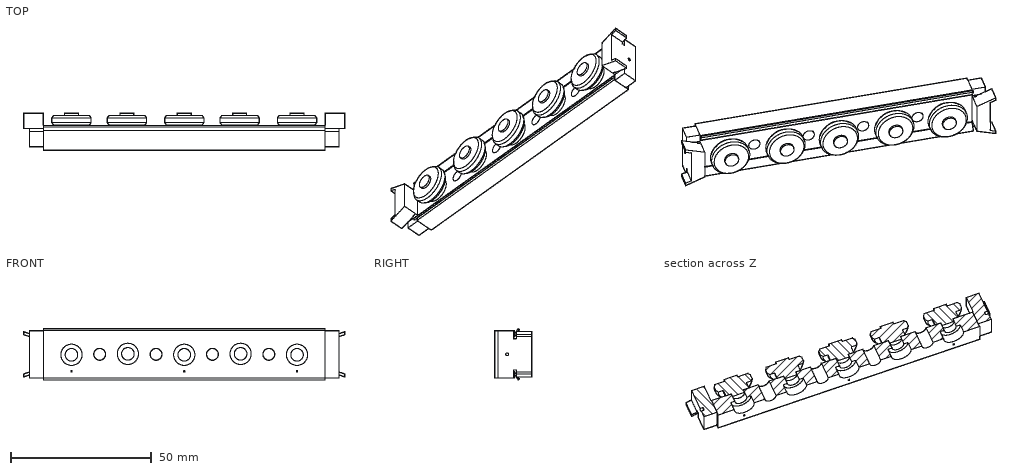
import cadquery as cq
import math


housing_length = 100.0
housing_depth = 7.1
housing_height = 16.9
roller_count = 5
roller_pitch = housing_length / roller_count
roller_offset = 0.17

mounting_hole_diameter = 4.1
counterbore_diameter = 7.5
counterbore_depth = 3.2
stud_hole_diameter = 4.5
mark_diameter = 0.5
mark_depth = 0.6
mark_drop = 6.0
recess_depth = 0.3

lip_foot_inner_z = 6.2
lip_thickness = 0.6
lip_lean = math.radians(56)
lip_top_z = 9.1

overall_depth = 13.2
roller_diameter = 14.0
roller_width = 3.5
roller_bevel_width = 0.9
roller_bevel_height = 0.7
boss_diameter = 5.0
boss_height = 0.74
hub_diameter = 9.0
stud_length = 1.4
eccentricity = 0.3

overall_length = 114.0
cap_end_x = 55.0
cap_front_y = 1.3
cap_back_y = housing_depth - recess_depth
cap_neck_height = 11.2
head_front_y = 7.8
wing_tip_z = 8.1
wing_tip_thickness = 1.1
wing_root_z = 6.3
pinhole_diameter = 1.0
pinhole_depth = 1.1
pinhole_y = 4.5

roller_places = []
for index in range(roller_count):
    roller_x = (index - (roller_count - 1) / 2) * roller_pitch
    roller_z = -roller_offset if index % 2 == 0 else roller_offset
    roller_places.append((roller_x, roller_z))


def block(x_start, x_end, y_start, y_end, height):
    """Box between the given X and Y limits, centred on Z = 0."""
    corner_box = cq.Workplane("XY").box(
        x_end - x_start, y_end - y_start, height, centered=(False, False, True)
    )
    return corner_box.translate((x_start, y_start, 0))


def cylinder(diameter, x, z, y_start, y_end):
    """Cylinder along Y between the two given Y values."""
    start = cq.Vector(x, y_start, z)
    solid = cq.Solid.makeCylinder(diameter / 2, y_end - y_start, start, cq.Vector(0, 1, 0))
    return cq.Workplane(obj=solid)


def make_housing():
    half_length = housing_length / 2
    housing = block(-half_length, half_length, 0, housing_depth, housing_height)

    recess_floor = housing_depth - recess_depth
    housing = housing.cut(
        block(-half_length, half_length, recess_floor, housing_depth, 2 * lip_foot_inner_z)
    )

    for index, (x, z) in enumerate(roller_places):
        housing = housing.cut(cylinder(counterbore_diameter, x, z, 0, counterbore_depth))
        housing = housing.cut(cylinder(stud_hole_diameter, x, z, 0, housing_depth))
        if index % 2 == 0:
            housing = housing.cut(cylinder(mark_diameter, x, -mark_drop, 0, mark_depth))

    for x, _ in roller_places[:-1]:
        middle_x = x + roller_pitch / 2
        housing = housing.cut(cylinder(mounting_hole_diameter, middle_x, 0, 0, housing_depth))
    return housing


def make_lip(side):
    """Thin strip leaning outward from the back of the housing; side is +1 (upper) or -1."""
    rise = math.sin(lip_lean)
    run = math.cos(lip_lean)
    foot_outer_z = lip_foot_inner_z + lip_thickness / run
    top_y = housing_depth + (lip_top_z - foot_outer_z) * run / rise
    tip_y = top_y + lip_thickness * rise
    tip_z = lip_top_z - lip_thickness * run
    section = [
        (housing_depth, side * lip_foot_inner_z),
        (housing_depth, side * foot_outer_z),
        (top_y, side * lip_top_z),
        (tip_y, side * tip_z),
    ]
    return cq.Workplane("YZ").polyline(section).close().extrude(housing_length / 2, both=True)


def make_roller(stud_x, stud_z, roller_shift):
    """Bevelled roller with a rear boss and a hub; its stud is offset when roller_shift is not 0."""
    rim_back = overall_depth - boss_height
    rim_front = rim_back - roller_width
    radius = roller_diameter / 2
    bevel_radius = radius - roller_bevel_height
    hub_front = housing_depth - recess_depth
    profile = [
        (0, hub_front),
        (hub_diameter / 2, hub_front),
        (hub_diameter / 2, rim_front),
        (bevel_radius, rim_front),
        (radius, rim_front + roller_bevel_width),
        (radius, rim_back - roller_bevel_width),
        (bevel_radius, rim_back),
        (boss_diameter / 2, rim_back),
        (boss_diameter / 2, overall_depth),
        (0, overall_depth),
    ]
    roller = cq.Workplane("XY").polyline(profile).close().revolve(360, (0, 0), (0, 1))
    roller = roller.translate((stud_x + roller_shift, 0, stud_z))
    stud = cylinder(stud_hole_diameter, stud_x, stud_z, hub_front - stud_length, hub_front)
    return roller.union(stud)


def make_right_cap():
    inner_x = housing_length / 2
    outer_x = overall_length / 2
    neck_z = cap_neck_height / 2

    cap = block(inner_x, cap_end_x, cap_front_y, cap_back_y, housing_height)
    cap = cap.union(block(inner_x, cap_end_x, cap_back_y, head_front_y, cap_neck_height))

    upper = [
        (inner_x, neck_z),
        (outer_x, wing_tip_z),
        (outer_x, wing_tip_z - wing_tip_thickness),
        (cap_end_x, wing_root_z),
    ]
    lower = [(x, -z) for x, z in reversed(upper)]
    head = cq.Workplane("XZ", origin=(0, head_front_y, 0)).polyline(upper + lower).close()
    cap = cap.union(head.extrude(-(overall_depth - head_front_y)))

    pinhole = cq.Solid.makeCylinder(
        pinhole_diameter / 2,
        pinhole_depth,
        cq.Vector(cap_end_x - pinhole_depth, pinhole_y, 0),
        cq.Vector(1, 0, 0),
    )
    return cap.cut(cq.Workplane(obj=pinhole))


housing = make_housing()
lips = [make_lip(side) for side in (1, -1)]
rollers = []
for index, (x, z) in enumerate(roller_places):
    rollers.append(make_roller(x, z, 0 if index % 2 == 0 else -eccentricity))
right_cap = make_right_cap()
left_cap = right_cap.mirror("YZ")

result = cq.Compound.makeCompound([
    housing.val(),
    *[lip.val() for lip in lips],
    *[roller.val() for roller in rollers],
    right_cap.val(),
    left_cap.val(),
])